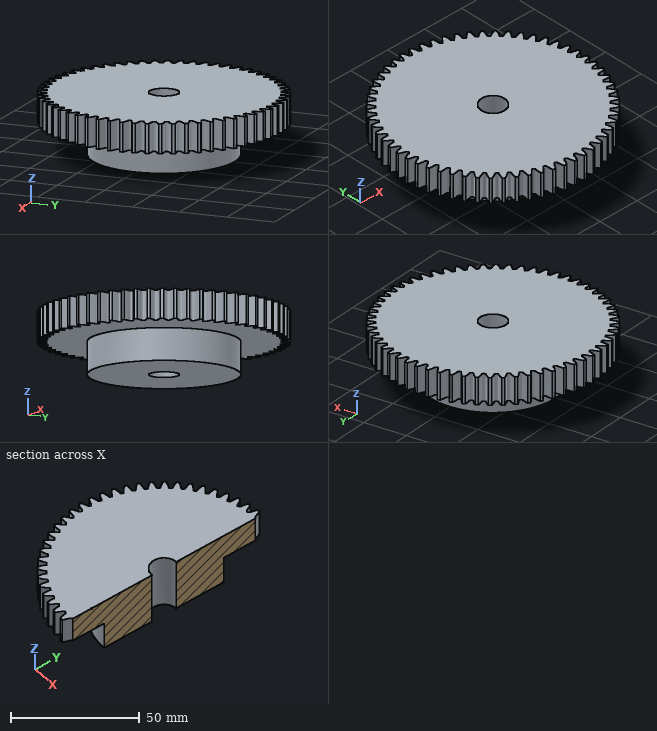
import cadquery as cq
import math

tooth_count = 60
circular_pitch = 5.0
pressure_angle = math.radians(20)
dedendum_factor = 1.25
root_fillet_factor = 0.38
flank_points = 5

face_width = 12.0
hub_length = 13.0
hub_diameter = 60.0
bore_diameter = 12.0

module = circular_pitch / math.pi
pitch_radius = module * tooth_count / 2
base_radius = pitch_radius * math.cos(pressure_angle)
tip_radius = pitch_radius + module
root_radius = pitch_radius - dedendum_factor * module
root_fillet = root_fillet_factor * module

tooth_angle = 2 * math.pi / tooth_count
overall_height = hub_length + face_width


def involute(angle):
    """Polar angle of an involute at the given pressure angle."""
    return math.tan(angle) - angle


def polar(radius, angle):
    return (radius * math.cos(angle), radius * math.sin(angle))


def half_tooth_angle(radius):
    """Half the angular thickness of a tooth at the given radius."""
    local_pressure_angle = math.acos(base_radius / radius)
    return tooth_angle / 4 + involute(pressure_angle) - involute(local_pressure_angle)


def toothed_disc():
    """Gear rim with involute flanks and square-cornered roots, on top of the hub."""
    radius_step = (tip_radius - root_radius) / (flank_points - 1)
    radii = [root_radius + radius_step * i for i in range(flank_points)]
    root_half = half_tooth_angle(root_radius)
    tip_half = half_tooth_angle(tip_radius)

    outline = cq.Workplane("XY").workplane(offset=hub_length)
    outline = outline.moveTo(*polar(root_radius, tooth_angle / 2 - root_half))
    for tooth in range(tooth_count):
        center = (tooth + 0.5) * tooth_angle
        next_center = center + tooth_angle
        rising = [polar(r, center - half_tooth_angle(r)) for r in radii]
        falling = [polar(r, center + half_tooth_angle(r)) for r in reversed(radii)]
        outline = outline.spline(rising[1:], includeCurrent=True)
        outline = outline.threePointArc(polar(tip_radius, center), polar(tip_radius, center + tip_half))
        outline = outline.spline(falling[1:], includeCurrent=True)
        outline = outline.threePointArc(
            polar(root_radius, center + tooth_angle / 2),
            polar(root_radius, next_center - root_half),
        )
    return outline.close().extrude(face_width)


def fillet_roots(disc):
    """Round the two corners at the bottom of every tooth space."""
    middle_radius = (root_radius + tip_radius) / 2
    root_edges = [
        edge for edge in disc.edges("|Z").vals()
        if math.hypot(edge.Center().x, edge.Center().y) < middle_radius
    ]
    return disc.newObject(root_edges).fillet(root_fillet)


def hub():
    return cq.Workplane("XY").circle(hub_diameter / 2).extrude(hub_length)


def bore():
    return cq.Workplane("XY").circle(bore_diameter / 2).extrude(overall_height)


result = fillet_roots(toothed_disc()).union(hub()).cut(bore())